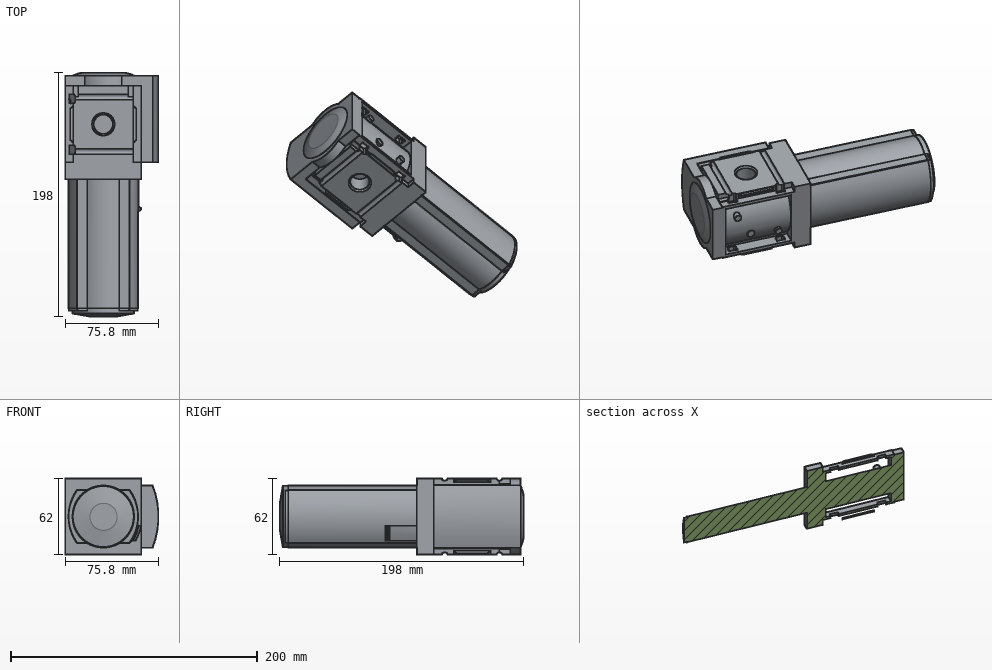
import cadquery as cq


head_width = 62.0
half = head_width / 2
head_length = 84.2
collar_length = 13.9
rear_plate_length = 8.3
rear_plate_y = head_length - rear_plate_length
rail_z = 26.0
rear_plate_z = 25.3
rear_arch_width = 29.9

panel_half_width = 24.4
port_y = 44.7
port_diameter = 15.6
port_mouth_diameter = 18.5
port_depth = 15.8
groove_radius = 2.4
groove_depth = 1.88
groove_offset = 22.2
corner_inner_x = 20.4
corner_y = 67.0
corner_z = 26.5
lip_overhang = 2.5
lip_half_length = 15.0
lip_drop = 0.5
lip_edge_depth = 1.2
lip_root_depth = 3.2

slot_offset = 20.5
slot_outer_x = 27.7
slot_shoulder_x = 23.5
slot_inner_x = 22.5
slot_half_length = 3.5
slot_nose_half_length = 2.2

window_y_min = 16.6
window_y_max = 72.9
window_half_height = 23.2
window_back_x = 21.0
core_radius = 29.7
pin_diameter = 5.5
pin_places = ((62.4, 11.0), (27.3, -11.0))
stud_diameter = 6.3
stud_y = 50.7
stud_z = -8.7
stud_end_x = 29.3

overall_width = 75.8
module_x = overall_width - half
module_edge_x = 40.0

bowl_radius = 50.5 / 2
wing_x = 28.3
wing_corner_x = 21.4
wing_half_height = 21.5
wing_chamfer = 0.4
bowl_length = 104.3
cap_length = 2.4
cap_inset = 0.2
knob_chamfer = 0.4
knob_y = -108.9
tip_y = -111.3
tip_radius = 22.0 / 2

dome_rise = 2.5
dome_flat_radius = 17.0
dome_mid_radius = 21.2
dome_mid_rise = 1.5

latch_z_min = -19.6
latch_z_max = -7.3
latch_thickness = 1.2
latch_length = 22.0
thumb_height = 3.0
thumb_length = 3.8
thumb_crest_length = 1.0


def block(x_range, y_range, z_range):
    """Box between the given limits."""
    (x0, x1), (y0, y1), (z0, z1) = x_range, y_range, z_range
    return cq.Workplane("XY").box(x1 - x0, y1 - y0, z1 - z0, centered=False).translate((x0, y0, z0))


def rod_y(radius, y0, y1):
    """Cylinder around the Y axis."""
    return cq.Workplane("XZ", origin=(0, y0, 0)).circle(radius).extrude(y0 - y1)


def both_z(solid):
    """The solid together with its mirror image below Z = 0."""
    return solid.union(solid.mirror("XY"))


def make_core():
    """Collar, rails and rear plate with its arched ridges."""
    collar = block((-half, half), (0, collar_length), (-half, half))
    rails = block((-half, half), (0, rear_plate_y), (-rail_z, rail_z))
    rear_plate = block((-half, half), (rear_plate_y, head_length), (-rear_plate_z, rear_plate_z))
    rear_arch = (
        cq.Workplane("XZ", origin=(0, head_length, 0))
        .moveTo(-rear_arch_width / 2, 0)
        .lineTo(-rear_arch_width / 2, rear_plate_z)
        .threePointArc((0, half), (rear_arch_width / 2, rear_plate_z))
        .lineTo(rear_arch_width / 2, 0)
        .close()
        .extrude(rear_plate_length)
    )
    return collar.union(rails).union(rear_plate).union(both_z(rear_arch))


def make_lip():
    """Bevelled tongue overhanging both long sides of the panel."""
    outer_x = panel_half_width + lip_overhang
    tip_half_length = lip_half_length - lip_overhang
    plan = (
        cq.Workplane("XY")
        .moveTo(-outer_x, port_y - tip_half_length)
        .lineTo(-panel_half_width, port_y - lip_half_length)
        .lineTo(panel_half_width, port_y - lip_half_length)
        .lineTo(outer_x, port_y - tip_half_length)
        .lineTo(outer_x, port_y + tip_half_length)
        .lineTo(panel_half_width, port_y + lip_half_length)
        .lineTo(-panel_half_width, port_y + lip_half_length)
        .lineTo(-outer_x, port_y + tip_half_length)
        .close()
        .extrude(half)
    )
    section = (
        cq.Workplane("XZ", origin=(0, head_length, 0))
        .moveTo(-outer_x, half - lip_drop)
        .lineTo(-outer_x, half - lip_edge_depth)
        .lineTo(-panel_half_width, half - lip_root_depth)
        .lineTo(panel_half_width, half - lip_root_depth)
        .lineTo(outer_x, half - lip_edge_depth)
        .lineTo(outer_x, half - lip_drop)
        .close()
        .extrude(head_length)
    )
    return plan.intersect(section)


def make_panel():
    """Raised panel on top of the head, with lips, cross grooves and lowered corners."""
    panel = block((-panel_half_width, panel_half_width), (0, rear_plate_y), (0, half))
    for side in (-1, 1):
        corner_x = sorted((side * corner_inner_x, side * panel_half_width))
        panel = panel.cut(block(corner_x, (corner_y, rear_plate_y), (corner_z, half)))
        groove = (
            cq.Workplane("YZ", origin=(-half, 0, 0))
            .center(port_y + side * groove_offset, half - groove_depth + groove_radius)
            .circle(groove_radius)
            .extrude(head_width)
        )
        panel = panel.cut(groove)
    return panel.union(make_lip())


def make_port():
    """Blind port with a 45 degree countersunk mouth, entered from +Z."""
    bore_radius = port_diameter / 2
    mouth_radius = port_mouth_diameter / 2
    return (
        cq.Workplane("XZ", origin=(0, port_y, 0))
        .moveTo(0, half - port_depth)
        .lineTo(bore_radius, half - port_depth)
        .lineTo(bore_radius, half - (mouth_radius - bore_radius))
        .lineTo(mouth_radius, half)
        .lineTo(0, half)
        .close()
        .revolve(360, (0, 0, 0), (0, 1, 0))
    )


def make_slot(center_y):
    """Slot through the rail into the window, with a tapered nose cut into the panel."""
    return (
        cq.Workplane("XY", origin=(0, center_y, window_back_x))
        .moveTo(-slot_outer_x, -slot_half_length)
        .lineTo(-slot_shoulder_x, -slot_half_length)
        .lineTo(-slot_inner_x, -slot_nose_half_length)
        .lineTo(-slot_inner_x, slot_nose_half_length)
        .lineTo(-slot_shoulder_x, slot_half_length)
        .lineTo(-slot_outer_x, slot_half_length)
        .close()
        .extrude(half - window_back_x)
    )


def make_window():
    """Space left between the window opening and the round core behind it."""
    opening = block(
        (-half, -window_back_x), (window_y_min, window_y_max), (-window_half_height, window_half_height)
    )
    return opening.cut(rod_y(core_radius, 0, head_length))


def make_pin(diameter, end_x, y, z):
    """Pin pointing towards -X out of the round core."""
    return (
        cq.Workplane("YZ", origin=(-window_back_x, y, z))
        .circle(diameter / 2)
        .extrude(end_x + window_back_x)
    )


def make_module():
    """Gauge module: straight sides and a bowed outer face."""
    return (
        cq.Workplane("XZ", origin=(0, head_length, 0))
        .moveTo(panel_half_width, -rear_plate_z)
        .lineTo(module_edge_x, -rear_plate_z)
        .threePointArc((module_x, 0), (module_edge_x, rear_plate_z))
        .lineTo(panel_half_width, rear_plate_z)
        .close()
        .extrude(head_length - collar_length)
    )


def make_dome():
    """Shallow dome on the rear of the head."""
    return (
        cq.Workplane("XY")
        .moveTo(0, rear_plate_y)
        .lineTo(bowl_radius, rear_plate_y)
        .lineTo(bowl_radius, head_length)
        .threePointArc(
            (dome_mid_radius, head_length + dome_mid_rise), (dome_flat_radius, head_length + dome_rise)
        )
        .lineTo(0, head_length + dome_rise)
        .close()
        .revolve(360, (0, 0, 0), (0, 1, 0))
    )


def make_bowl_section(start_y, length, inset):
    """Round bowl with two bowed wings, running towards -Y."""
    corner_x = wing_corner_x - inset
    corner_z = wing_half_height - inset
    wings = (
        cq.Workplane("XZ", origin=(0, start_y, 0))
        .moveTo(-corner_x, corner_z)
        .lineTo(corner_x, corner_z)
        .threePointArc((wing_x - inset, 0), (corner_x, -corner_z))
        .lineTo(-corner_x, -corner_z)
        .threePointArc((-wing_x + inset, 0), (-corner_x, corner_z))
        .close()
        .extrude(length)
        .edges("|Y")
        .chamfer(wing_chamfer)
    )
    return wings.union(rod_y(bowl_radius - inset, start_y, start_y - length))


def make_knob():
    """Chamfered rim and shallow cone with a flat tip, closing the bowl."""
    rim_radius = bowl_radius - cap_inset
    return (
        cq.Workplane("XY")
        .moveTo(0, -bowl_length)
        .lineTo(rim_radius, -bowl_length)
        .lineTo(rim_radius, knob_y + knob_chamfer)
        .lineTo(rim_radius - knob_chamfer, knob_y)
        .lineTo(tip_radius, tip_y)
        .lineTo(0, tip_y)
        .close()
        .revolve(360, (0, 0, 0), (0, 1, 0))
    )


def make_latch():
    """Thin strip following the +X wing, ending in a wedge-shaped thumb piece."""
    bow = wing_x - wing_corner_x
    wing_radius = (wing_half_height**2 + bow**2) / (2 * bow)
    wing_axis_x = wing_x - wing_radius
    thumb_end_y = -latch_length - thumb_length
    crest_margin = (thumb_length - thumb_crest_length) / 2
    strip = (
        cq.Workplane("XY")
        .moveTo(wing_x - latch_thickness, 0)
        .lineTo(wing_x + latch_thickness, 0)
        .lineTo(wing_x + latch_thickness, -latch_length)
        .lineTo(wing_x + thumb_height, -latch_length - crest_margin)
        .lineTo(wing_x + thumb_height, thumb_end_y + crest_margin)
        .lineTo(wing_x + latch_thickness, thumb_end_y)
        .lineTo(wing_x - latch_thickness, thumb_end_y)
        .close()
        .revolve(360, (wing_axis_x, 0, 0), (wing_axis_x, 1, 0))
    )
    return strip.intersect(block((0, half), (thumb_end_y, 0), (latch_z_min, latch_z_max)))


head = make_core().union(both_z(make_panel())).union(make_module())
head = head.cut(make_window())
for side in (-1, 1):
    head = head.cut(both_z(make_slot(port_y + side * slot_offset)).cut(rod_y(core_radius, 0, head_length)))
head = head.cut(both_z(make_port()))
for pin_y, pin_z in pin_places:
    head = head.union(make_pin(pin_diameter, -half, pin_y, pin_z))
head = head.union(make_pin(stud_diameter, -stud_end_x, stud_y, stud_z))

result = (
    head.union(make_dome())
    .union(make_bowl_section(0, bowl_length, 0))
    .union(make_bowl_section(-bowl_length, cap_length, cap_inset))
    .union(make_knob())
    .union(make_latch())
)